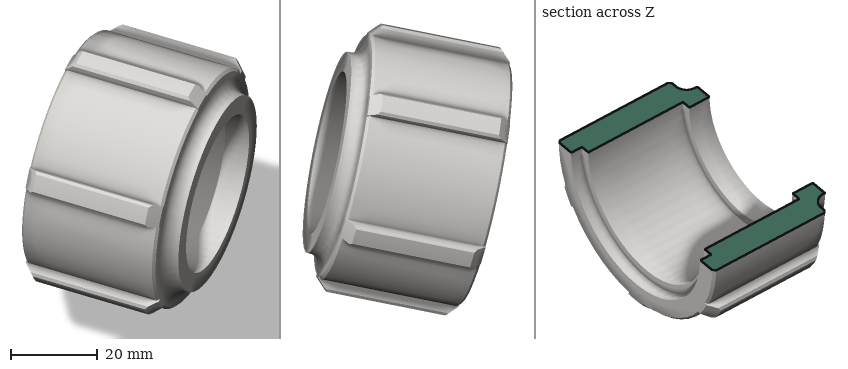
import cadquery as cq
import math

total_length = 37.0
collar_length = 33.2
collar_radius = 57.75 / 2
collar_chamfer = 0.6
neck_radius = 47.25 / 2
neck_fillet = 3.15

mouth_diameter = 47.5
mouth_depth = 3.15
bore_diameter = 42.75
bore_depth = 31.0
outlet_diameter = 38.0

rib_count = 6
rib_tip_radius = 31.5
rib_angle = 10.0
rib_edge_chamfer = 0.6
rib_root_radius = 26.45


def make_body():
    """Revolve the chamfered collar and the neck that flares into it."""
    arc_offset = neck_fillet * (1 - math.sqrt(0.5))
    profile = (
        cq.Workplane("XY")
        .lineTo(0, collar_radius - collar_chamfer)
        .lineTo(collar_chamfer, collar_radius)
        .lineTo(collar_length - collar_chamfer, collar_radius)
        .lineTo(collar_length, collar_radius - collar_chamfer)
        .lineTo(collar_length, neck_radius + neck_fillet)
        .threePointArc(
            (collar_length + arc_offset, neck_radius + arc_offset),
            (collar_length + neck_fillet, neck_radius),
        )
        .lineTo(total_length, neck_radius)
        .lineTo(total_length, 0)
        .close()
    )
    return profile.revolve(360, (0, 0, 0), (1, 0, 0))


def make_rib():
    """Revolve a rib sector with 45 degree ends, centred on +Z."""
    end_slope = rib_tip_radius - collar_radius
    rib = (
        cq.Workplane("XY")
        .moveTo(0, rib_root_radius)
        .lineTo(0, collar_radius)
        .lineTo(end_slope, rib_tip_radius)
        .lineTo(collar_length - end_slope, rib_tip_radius)
        .lineTo(collar_length, collar_radius)
        .lineTo(collar_length, rib_root_radius)
        .close()
        .revolve(rib_angle, (0, 0, 0), (1, 0, 0))
        .rotate((0, 0, 0), (1, 0, 0), 90 - rib_angle / 2)
    )
    long_tip_edges = cq.selectors.BoxSelector(
        (0, -rib_tip_radius, (collar_radius + rib_tip_radius) / 2),
        (collar_length, rib_tip_radius, 2 * rib_tip_radius),
    )
    return rib.edges("|X").edges(long_tip_edges).chamfer(rib_edge_chamfer)


def make_bore():
    """Stack the mouth, main bore and outlet as one cutting tool."""
    steps = (
        (mouth_diameter, mouth_depth),
        (bore_diameter, bore_depth),
        (outlet_diameter, total_length),
    )
    tool = cq.Workplane("YZ")
    for diameter, depth in steps:
        tool = tool.union(cq.Workplane("YZ").circle(diameter / 2).extrude(depth))
    return tool


result = make_body()
rib = make_rib()
for index in range(rib_count):
    result = result.union(rib.rotate((0, 0, 0), (1, 0, 0), index * 360 / rib_count))
result = result.cut(make_bore())